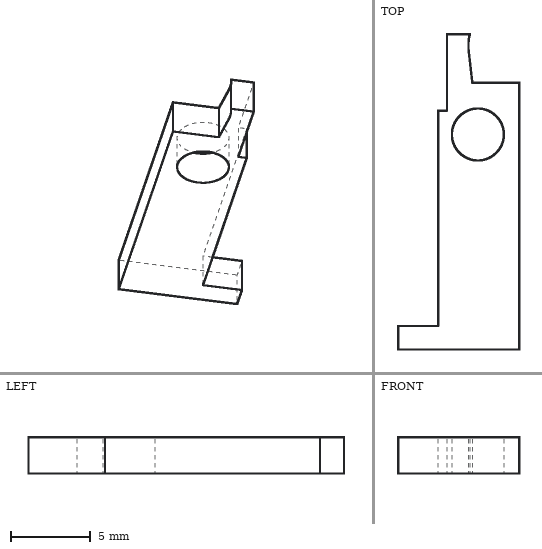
import cadquery as cq

length = 19.8
width = 7.6
thickness = 2.3

body_width = 5.1
foot_height = 1.5
left_step_drop = 4.8
shoulder_drop = 3.05

finger_inset = 0.55
finger_tip_width = 1.45
finger_root_width = 1.61
finger_waist_width = 1.38
waist_drop = 1.05

hole_diameter = 3.25
hole_from_right = 2.6
hole_from_tip = 6.3

body_left = width - body_width
finger_left = body_left + finger_inset


def make_plate():
    """Plate with a foot to the left and a tapered finger that curls outward at the +Y end."""
    shoulder_y = length - shoulder_drop
    left_step_y = length - left_step_drop
    finger_root = (finger_left + finger_root_width, shoulder_y)
    finger_waist = (finger_left + finger_waist_width, length - waist_drop)
    finger_tip = (finger_left + finger_tip_width, length)
    return (
        cq.Workplane("XY")
        .moveTo(0, 0)
        .lineTo(width, 0)
        .lineTo(width, shoulder_y)
        .lineTo(*finger_root)
        .lineTo(*finger_waist)
        .tangentArcPoint(finger_tip, relative=False)
        .lineTo(finger_left, length)
        .lineTo(finger_left, left_step_y)
        .lineTo(body_left, left_step_y)
        .lineTo(body_left, foot_height)
        .lineTo(0, foot_height)
        .close()
        .extrude(thickness)
    )


def make_hole_cutter():
    """Cylinder that removes the round hole through the full thickness."""
    return (
        cq.Workplane("XY")
        .center(width - hole_from_right, length - hole_from_tip)
        .circle(hole_diameter / 2)
        .extrude(thickness)
    )


result = make_plate().cut(make_hole_cutter())